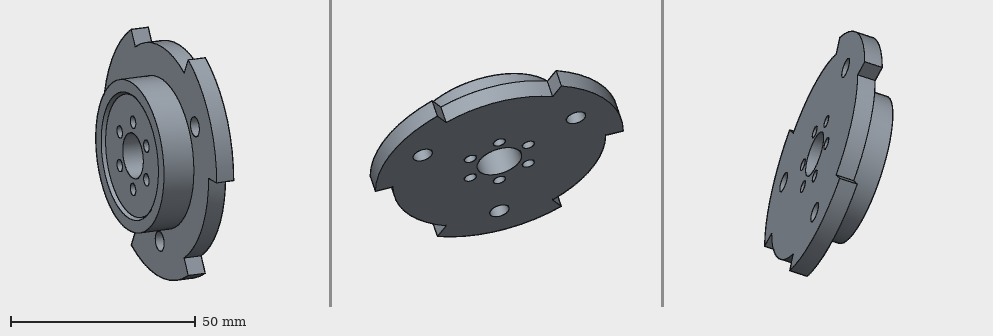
import cadquery as cq
import math

lobe_radius = 35.0
disc_radius = 30.0
flange_thickness = 5.2
lobe_count = 3
lobe_angle = 60.0
first_lobe_center = 30.0

total_depth = 14.2
hub_radius = 21.0

recess_mouth_radius = 17.6
recess_floor_radius = 16.9
recess_depth = 1.0

bore_radius = 6.3
hub_hole_radius = 1.7
hub_hole_circle_radius = 9.45
hub_hole_count = 6
first_hub_hole_angle = 30.0
lobe_hole_radius = 2.7
lobe_hole_circle_radius = 25.0


def cylinder(radius, length):
    """Cylinder along -Y, starting at the flange back face, Y = 0."""
    return cq.Workplane("XZ").circle(radius).extrude(length)


def lobe(center_angle):
    """Sector of the flange between two radial edges."""
    half_angle = math.radians(lobe_angle / 2)
    edge_x = lobe_radius * math.cos(half_angle)
    edge_z = lobe_radius * math.sin(half_angle)
    return (
        cq.Workplane("XZ")
        .transformed(rotate=(0, 0, center_angle))
        .moveTo(0, 0)
        .lineTo(edge_x, -edge_z)
        .threePointArc((lobe_radius, 0), (edge_x, edge_z))
        .close()
        .extrude(flange_thickness)
    )


def hole_ring(circle_radius, first_angle, count, hole_radius):
    """Cutting cylinders evenly spaced on a circle around the axis."""
    return (
        cq.Workplane("XZ")
        .polarArray(circle_radius, first_angle, 360, count)
        .circle(hole_radius)
        .extrude(total_depth)
    )


def recess():
    """Truncated cone widening from the recess floor to the hub face."""
    floor_depth = total_depth - recess_depth
    return (
        cq.Workplane("XZ", origin=(0, -floor_depth, 0))
        .circle(recess_floor_radius)
        .workplane(offset=recess_depth)
        .circle(recess_mouth_radius)
        .loft(ruled=True)
    )


body = cylinder(disc_radius, flange_thickness)
for index in range(lobe_count):
    body = body.union(lobe(first_lobe_center + index * 360 / lobe_count))
body = body.union(cylinder(hub_radius, total_depth))

body = body.cut(recess())
body = body.cut(cylinder(bore_radius, total_depth))
body = body.cut(hole_ring(hub_hole_circle_radius, first_hub_hole_angle, hub_hole_count, hub_hole_radius))
body = body.cut(hole_ring(lobe_hole_circle_radius, first_lobe_center, lobe_count, lobe_hole_radius))

result = body